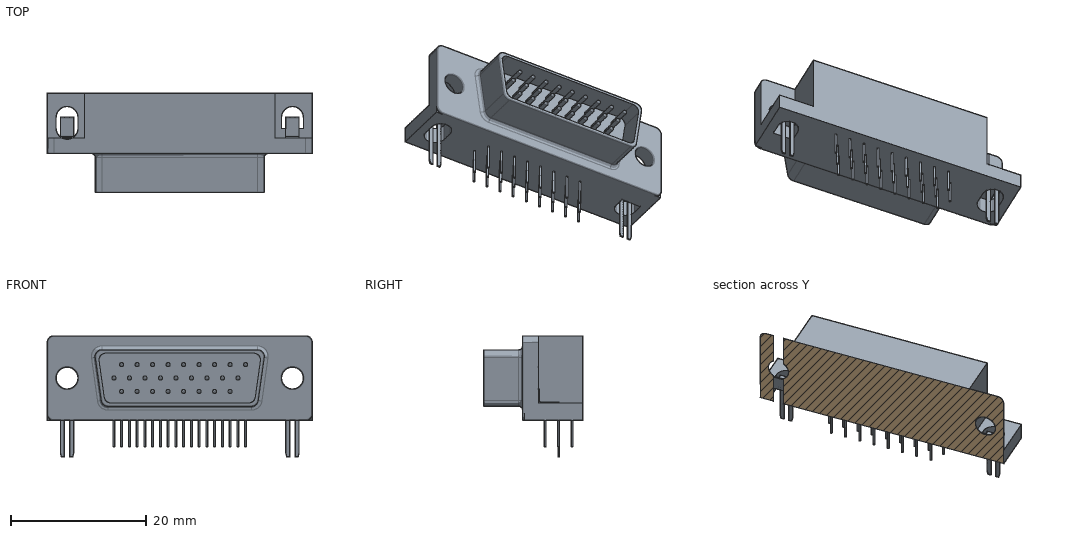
import cadquery as cq
import math


length = 39.2
height = 12.5
body_back = 8.95
flange_back = 2.35
housing_width = 28.2
foot_height = 2.6
flange_corner_radius = 1.0

plate_thickness = 0.3
plate_corner_radius = 1.0
plate_edge_radius = 0.1

mount_x = 16.65
mount_diameter = 3.2
mid_z = height / 2
slot_rear_y = 5.35
slot_front_y = 3.75
slot_width = 3.2

shell_width = 25.0
shell_height = 8.36
shell_reach = 5.75
shell_corner_radius = 1.0
shell_wall = 0.5
shell_side_angle = 8.0
shell_root_radius = 0.55
shell_tip_radius = 0.1
cavity_floor_y = -2.0

pitch = 2.29
row_spacing = 1.98
pin_diameter = 0.6
pin_tip_y = -5.6
pin_tip_radius = 0.2
tail_diameter = 0.3
tail_length = 3.95
tail_tip_chamfer = 0.1
tail_middle_y = 5.35
tail_row_spacing = row_spacing
outer_row_start = -3.75 * pitch
contact_rows = [
    (8, outer_row_start),
    (9, outer_row_start - pitch / 2),
    (9, outer_row_start),
]

clip_width = 2.0
clip_thickness = 0.2
clip_bend_radius = 0.15
clip_back = 5.45
clip_top = 4.6
clip_shelf_top = 2.7
clip_leg_width = 0.62
clip_leg_length = 5.4
leg_taper_width = 0.15
leg_taper_length = 0.6

OVERLAP = 0.2
EDGE_MARGIN = 0.01


def box(x_range, y_range, z_range):
    """Box between the given limits along each axis."""
    size = [high - low for low, high in (x_range, y_range, z_range)]
    corner = (x_range[0], y_range[0], z_range[0])
    return cq.Workplane("XY").box(*size, centered=False).translate(corner)


def rod_along_y(x, z, diameter, y_front, y_back):
    """Round rod or hole tool between two Y positions."""
    plane = cq.Workplane("XZ", origin=(x, y_back, z))
    return plane.circle(diameter / 2).extrude(y_back - y_front)


def d_prism(inset, y_front, y_back):
    """D-shaped prism, wide side up, set inward from the outside of the shell."""
    lean = math.tan(math.radians(shell_side_angle))
    corner_shift = math.tan(math.radians(45 + shell_side_angle / 2))
    sharp_half_width = shell_width / 2 + shell_corner_radius * (corner_shift - 1)
    half_height = shell_height / 2 - inset
    half_top = sharp_half_width - inset * corner_shift
    half_bottom = half_top - 2 * half_height * lean
    corners = [
        (-half_top, half_height),
        (half_top, half_height),
        (half_bottom, -half_height),
        (-half_bottom, -half_height),
    ]
    plane = cq.Workplane("XZ", origin=(0, y_back, mid_z))
    prism = plane.polyline(corners).close().extrude(y_back - y_front)
    return prism.edges("|Y").fillet(shell_corner_radius)


def make_insulator():
    """Plastic body: flange, housing block and the foot under it."""
    half = length / 2
    flange = box((-half, half), (plate_thickness, flange_back), (0, height))
    flange = flange.edges("|Y and >Z").fillet(flange_corner_radius)
    housing_half = housing_width / 2
    housing = box((-housing_half, housing_half), (plate_thickness, body_back), (0, height))
    foot = box((-half, half), (plate_thickness, body_back), (0, foot_height))
    return flange.union(housing).union(foot)


def make_plate_and_shell():
    """Metal front plate with the hollow D-shaped shell standing on it."""
    half_length = length / 2
    plate = box((-half_length, half_length), (0, plate_thickness), (0, height))
    plate = plate.edges("|Y").fillet(plate_corner_radius)
    plate = plate.faces("<Y").edges().fillet(plate_edge_radius)
    shell = d_prism(0, -shell_reach, plate_thickness)
    shell = shell.faces("<Y").edges().fillet(shell_tip_radius)
    joined = plate.union(shell)
    root = cq.selectors.BoxSelector(
        (-shell_width / 2, -EDGE_MARGIN, mid_z - shell_height / 2 - EDGE_MARGIN),
        (shell_width / 2, EDGE_MARGIN, mid_z + shell_height / 2 + EDGE_MARGIN),
    )
    joined = joined.edges(root).fillet(shell_root_radius)
    return joined.cut(d_prism(shell_wall, -shell_reach, cavity_floor_y))


def cut_mounting(body):
    """Screw holes through the flange and the slots through the feet."""
    radius = slot_width / 2
    for side in (-1, 1):
        x = side * mount_x
        body = body.cut(rod_along_y(x, mid_z, mount_diameter, 0, flange_back))
        rim = cq.selectors.BoxSelector(
            (x - mount_diameter, -EDGE_MARGIN, mid_z - mount_diameter),
            (x + mount_diameter, EDGE_MARGIN, mid_z + mount_diameter),
        )
        body = body.edges(rim).edges("%CIRCLE").fillet(plate_edge_radius)
        rear_round = cq.Workplane("XY").center(x, slot_rear_y).circle(radius).extrude(height)
        straight = box((x - radius, x + radius), (slot_front_y, slot_rear_y), (0, height))
        body = body.cut(rear_round).cut(straight)
    front_round = cq.Workplane("XY").center(-mount_x, slot_front_y).circle(radius)
    return body.cut(front_round.extrude(height))


def make_contacts():
    """Front pins in three rows, each with a tail running down into the board."""
    contacts = None
    for row, (count, first_x) in enumerate(contact_rows):
        level = row - 1
        z = mid_z + level * row_spacing
        tail_y = tail_middle_y + level * tail_row_spacing
        for index in range(count):
            x = first_x + index * pitch
            pin = rod_along_y(x, z, pin_diameter, pin_tip_y, cavity_floor_y + OVERLAP)
            pin = pin.faces("<Y").edges().fillet(pin_tip_radius)
            tail = cq.Workplane("XY", origin=(x, tail_y, -tail_length))
            tail = tail.circle(tail_diameter / 2).extrude(tail_length + OVERLAP)
            tail = tail.faces("<Z").edges().chamfer(tail_tip_chamfer)
            pair = pin.add(tail)
            contacts = pair if contacts is None else contacts.add(pair)
    return contacts


def make_clip(x):
    """Board lock: upright tab behind the flange, shelf over the slot and two legs."""
    half = clip_width / 2
    across = (x - half, x + half)
    shelf_bottom = clip_shelf_top - clip_thickness
    tab_back = flange_back + clip_thickness
    tab = box(across, (flange_back, tab_back), (shelf_bottom, clip_top))
    shelf = box(across, (flange_back, clip_back), (shelf_bottom, clip_shelf_top))
    clip = tab.union(shelf)
    for side in (-1, 1):
        outer = x + side * half
        inner = outer - side * clip_leg_width
        tip_outer = outer - side * leg_taper_width
        leg = (
            cq.Workplane("XZ", origin=(0, clip_back, 0))
            .moveTo(inner, clip_shelf_top)
            .lineTo(outer, clip_shelf_top)
            .lineTo(outer, leg_taper_length - clip_leg_length)
            .lineTo(tip_outer, -clip_leg_length)
            .lineTo(inner, -clip_leg_length)
            .close()
            .extrude(clip_thickness)
        )
        clip = clip.union(leg)
    for bend_y in (tab_back, clip_back):
        bend = cq.selectors.BoxSelector(
            (x - half, bend_y - EDGE_MARGIN, clip_shelf_top - EDGE_MARGIN),
            (x + half, bend_y + EDGE_MARGIN, clip_shelf_top + EDGE_MARGIN),
        )
        clip = clip.edges(bend).edges("|X").fillet(clip_bend_radius)
    return clip


connector = cut_mounting(make_insulator().union(make_plate_and_shell()))
connector = connector.union(make_contacts())
result = connector.union(make_clip(-mount_x)).union(make_clip(mount_x))